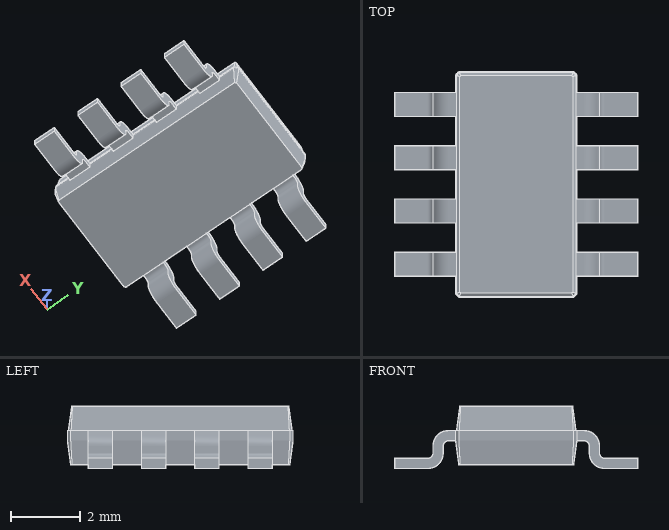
import cadquery as cq
import math

overall_length = 7.0
overall_height = 1.8

body_width = 3.5
body_length = 6.5
body_standoff = 0.105
corner_chamfer = 0.1
draft_angle = 7.7
upper_step = 0.03

leads_per_side = 4
lead_pitch = 1.53
lead_width = 0.7
lead_thickness = 0.3
lead_top = 1.1
lead_reach = 1.1
inner_bend_radius = 0.15
lead_embed = 0.14

lead_underside = lead_top - lead_thickness
outer_bend_radius = inner_bend_radius + lead_thickness
lead_tip_x = -overall_length / 2
lead_root_x = -body_width / 2 + lead_embed
upright_outer_x = lead_tip_x + lead_reach
upright_inner_x = upright_outer_x + lead_thickness


def body_block(start_z, height, inset=0.0, taper=0.0):
    """Chamfered block extruded from start_z, its outline drawn in by inset on every side."""
    chamfer = corner_chamfer - inset * (2 - math.sqrt(2))
    x = body_width / 2 - inset
    y = body_length / 2 - inset
    outline = [
        (x, y - chamfer), (x - chamfer, y),
        (chamfer - x, y), (-x, y - chamfer),
        (-x, chamfer - y), (chamfer - x, -y),
        (x - chamfer, -y), (x, chamfer - y),
    ]
    return (
        cq.Workplane("XY", origin=(0, 0, start_z))
        .polyline(outline).close()
        .extrude(height, taper=taper)
    )


def make_body():
    band = body_block(lead_underside, lead_thickness)
    upper = body_block(lead_top, overall_height - lead_top, upper_step, draft_angle)
    lower = body_block(lead_underside, body_standoff - lead_underside, taper=draft_angle)
    return band.union(upper).union(lower)


def make_left_lead(center_y):
    """S-shaped strip: flat foot, upright and shoulder joined by concentric bends."""
    foot_bend_x = upright_outer_x - inner_bend_radius
    foot_bend_z = lead_thickness + inner_bend_radius
    shoulder_bend_x = upright_inner_x + inner_bend_radius
    shoulder_bend_z = lead_underside - inner_bend_radius
    return (
        cq.Workplane("XZ", origin=(0, center_y, 0))
        .moveTo(lead_tip_x, 0)
        .lineTo(foot_bend_x, 0)
        .radiusArc((upright_inner_x, foot_bend_z), -outer_bend_radius)
        .lineTo(upright_inner_x, shoulder_bend_z)
        .radiusArc((shoulder_bend_x, lead_underside), inner_bend_radius)
        .lineTo(lead_root_x, lead_underside)
        .lineTo(lead_root_x, lead_top)
        .lineTo(shoulder_bend_x, lead_top)
        .radiusArc((upright_outer_x, shoulder_bend_z), -outer_bend_radius)
        .lineTo(upright_outer_x, foot_bend_z)
        .radiusArc((foot_bend_x, lead_thickness), inner_bend_radius)
        .lineTo(lead_tip_x, lead_thickness)
        .close()
        .extrude(lead_width / 2, both=True)
    )


result = make_body()
for index in range(leads_per_side):
    lead_y = (index - (leads_per_side - 1) / 2) * lead_pitch
    left_lead = make_left_lead(lead_y)
    result = result.union(left_lead).union(left_lead.mirror("YZ"))